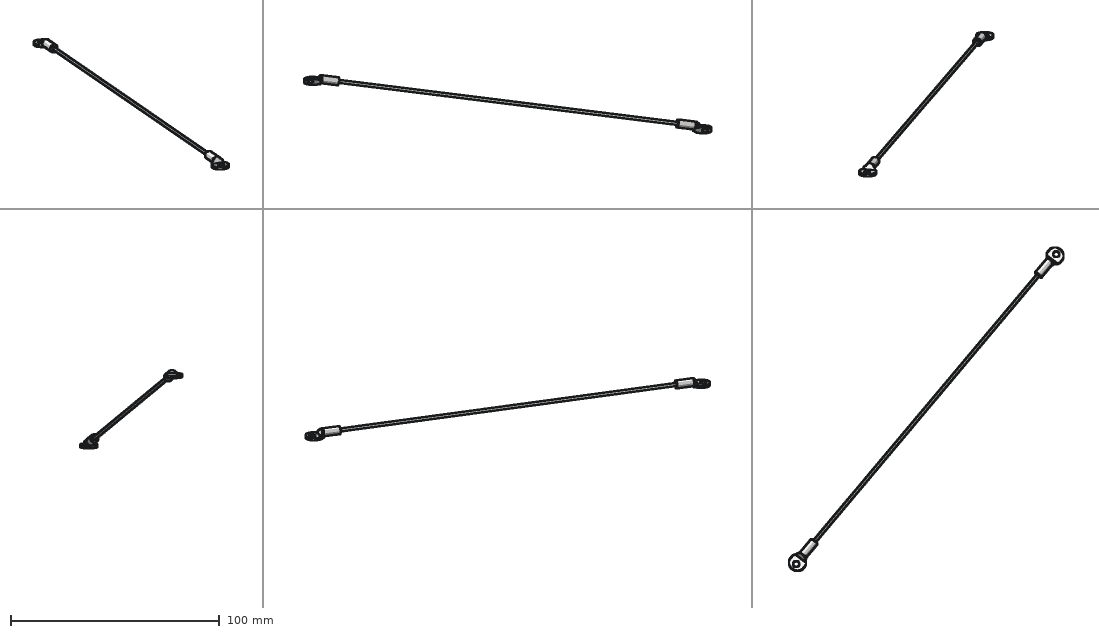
import cadquery as cq
import math

overall_length = 206.0

wire_diameter = 1.6

barrel_diameter = 4.0
barrel_start = 8.5
terminal_length = 17.0

ring_diameter = 8.3
tongue_width = 7.99
tongue_thickness = 1.2
hole_diameter = 3.0
hole_center = 3.1

neck_width = barrel_diameter
shoulder_start = 6.5
shoulder_lean = 1.5
eave_z = 0.0

barrel_radius = barrel_diameter / 2
barrel_length = terminal_length - barrel_start
ring_radius = ring_diameter / 2
tip_x = -overall_length / 2
barrel_x = tip_x + barrel_start
shoulder_x = tip_x + shoulder_start
ring_center_x = tip_x + ring_radius
bottom_z = -barrel_radius
tongue_top_z = bottom_z + tongue_thickness


def make_disc(height):
    """Disc with flat sides, standing on the bottom plane."""
    disc = cq.Workplane("XY", origin=(ring_center_x, 0, bottom_z)).circle(ring_radius).extrude(height)
    side_limit = cq.Workplane("XY").box(2 * overall_length, tongue_width, 2 * barrel_diameter)
    return disc.intersect(side_limit)


def make_shoulder():
    """Rounded 45 degree roof kept inside the disc and neck outline, with a leaning front face."""
    tangent_offset = barrel_radius * math.sin(math.pi / 4)
    eave_y = 2 * tangent_offset - eave_z
    roof = (
        cq.Workplane("YZ", origin=(tip_x, 0, 0))
        .moveTo(-eave_y, bottom_z)
        .lineTo(-eave_y, eave_z)
        .lineTo(-tangent_offset, tangent_offset)
        .threePointArc((0, barrel_radius), (tangent_offset, tangent_offset))
        .lineTo(eave_y, eave_z)
        .lineTo(eave_y, bottom_z)
        .close()
        .extrude(barrel_start)
    )
    neck = (
        cq.Workplane("XY", origin=(ring_center_x, 0, bottom_z))
        .rect(2 * (barrel_x - ring_center_x), neck_width)
        .extrude(barrel_diameter)
    )
    side_profile = (
        cq.Workplane("XZ")
        .moveTo(shoulder_x, bottom_z)
        .lineTo(shoulder_x, tongue_top_z)
        .lineTo(shoulder_x + shoulder_lean, barrel_radius)
        .lineTo(barrel_x, barrel_radius)
        .lineTo(barrel_x, bottom_z)
        .close()
        .extrude(ring_radius, both=True)
    )
    outline = make_disc(barrel_diameter).union(neck)
    return roof.intersect(outline).intersect(side_profile)


def make_terminal():
    """Ring terminal at the -X end, with a wire bore through the length of the barrel."""
    barrel_end = cq.Workplane("YZ", origin=(barrel_x, 0, 0))
    barrel = barrel_end.circle(barrel_radius).extrude(barrel_length)
    wire_bore = barrel_end.circle(wire_diameter / 2).extrude(barrel_length)
    bolt_hole = (
        cq.Workplane("XY", origin=(tip_x + hole_center, 0, bottom_z))
        .circle(hole_diameter / 2)
        .extrude(tongue_thickness)
    )
    body = make_disc(tongue_thickness).union(make_shoulder()).union(barrel)
    return body.cut(wire_bore).cut(bolt_hole)


def make_wire():
    """Straight wire seated at the bottom of both barrel bores."""
    return (
        cq.Workplane("YZ", origin=(barrel_x, 0, 0))
        .circle(wire_diameter / 2)
        .extrude(-2 * barrel_x)
    )


terminals = cq.Workplane("XY")
for turn in (0, 180):
    terminals = terminals.add(make_terminal().rotate((0, 0, 0), (0, 0, 1), turn))
wire = make_wire()

result = cq.Compound.makeCompound([*terminals.vals(), wire.val()])